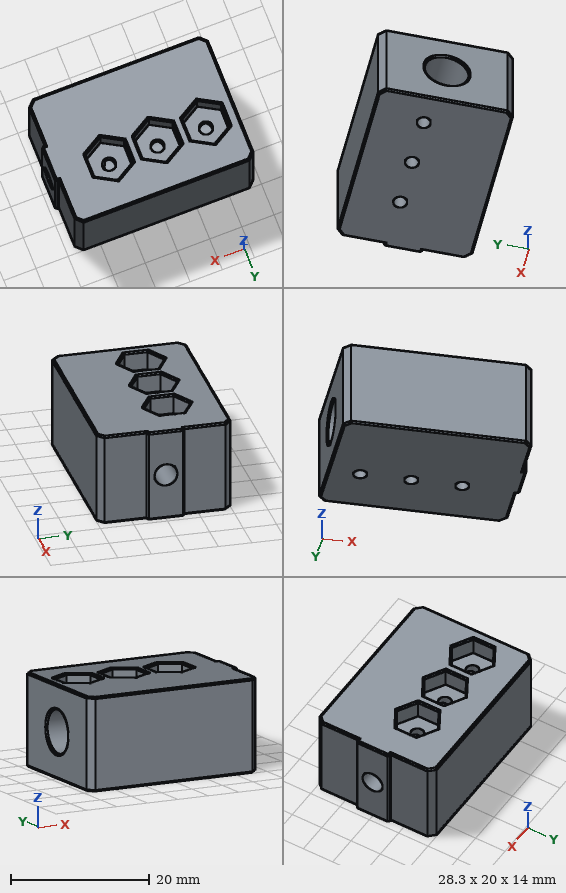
import cadquery as cq
import math

total_length = 28.25
width = 20.0
height = 14.0
rib_projection = 0.5
rib_width = 5.62
body_length = total_length - rib_projection

corner_chamfer = 1.0
edge_chamfer = 0.25

nut_count = 3
nut_pitch = 7.51
first_nut_x = 4.75
nut_y = 2.35
nut_corner_diameter = 6.95
nut_depth = 3.0
screw_diameter = 2.0

bore_diameter = 6.5
bore_depth = 20.0
passage_diameter = 3.4


def make_block():
    """Block with chamfered corners and a full-height rib, bevelled top and bottom."""
    body = (
        cq.Workplane("XY")
        .box(body_length, width, height, centered=(False, True, False))
        .edges("|Z")
        .chamfer(corner_chamfer)
    )
    rib = (
        cq.Workplane("XY")
        .box(total_length - body_length / 2, rib_width, height, centered=(False, True, False))
        .translate((body_length / 2, 0, 0))
        .edges("|Z and >X")
        .chamfer(edge_chamfer)
    )
    return body.union(rib).faces("<Z or >Z").chamfer(edge_chamfer)


def make_nut_pocket(x):
    """Hexagonal pocket with two corners along Y, a flared mouth and a through hole."""
    mouth_growth = 2 * edge_chamfer / math.cos(math.pi / 6)

    def hexagon(z, diameter):
        return (
            cq.Workplane("XY", origin=(x, nut_y, z))
            .transformed(rotate=(0, 0, 90))
            .polygon(6, diameter)
        )

    pocket = hexagon(height - nut_depth, nut_corner_diameter).extrude(nut_depth)
    mouth = (
        hexagon(height - edge_chamfer, nut_corner_diameter)
        .workplane(offset=edge_chamfer)
        .polygon(6, nut_corner_diameter + mouth_growth)
        .loft(ruled=True)
    )
    screw_hole = cq.Workplane("XY", origin=(x, nut_y, 0)).circle(screw_diameter / 2).extrude(height)
    return pocket.union(mouth).union(screw_hole)


def make_stepped_bore():
    """Wide bore from the -X face with a chamfered mouth, then a narrow passage to +X."""
    bore_radius = bore_diameter / 2
    passage_radius = passage_diameter / 2
    return (
        cq.Workplane("XY")
        .moveTo(0, 0)
        .lineTo(0, bore_radius + edge_chamfer)
        .lineTo(edge_chamfer, bore_radius)
        .lineTo(bore_depth, bore_radius)
        .lineTo(bore_depth, passage_radius)
        .lineTo(total_length, passage_radius)
        .lineTo(total_length, 0)
        .close()
        .revolve(360, (0, 0, 0), (1, 0, 0))
        .translate((0, 0, height / 2))
    )


result = make_block().cut(make_stepped_bore())
for index in range(nut_count):
    result = result.cut(make_nut_pocket(first_nut_x + index * nut_pitch))